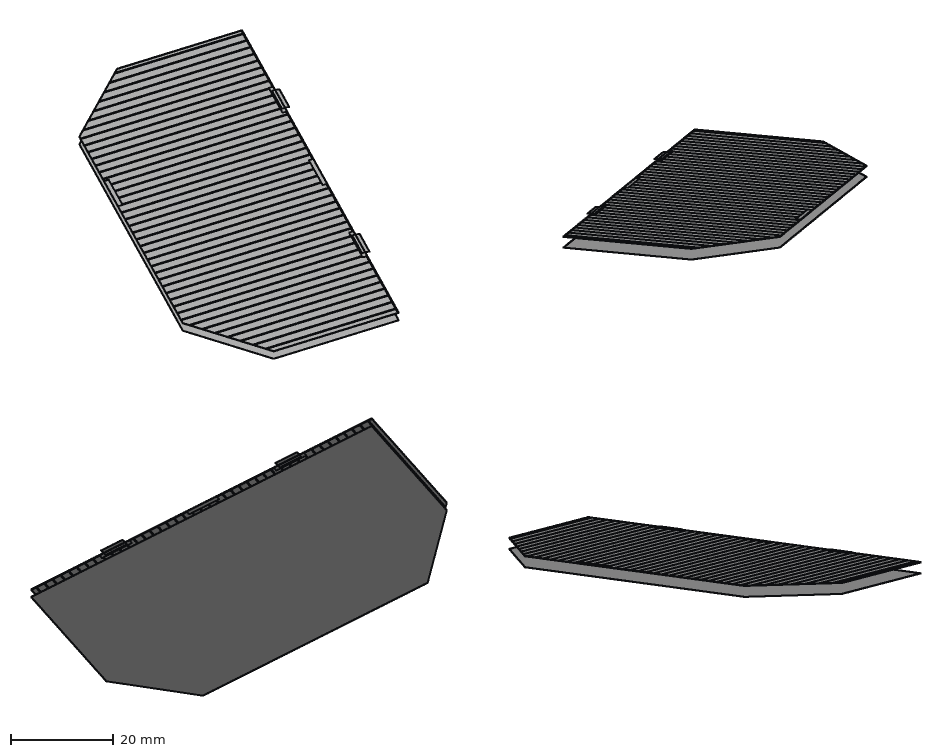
import cadquery as cq
import math

LENGTH = 80.0
WIDTH = 40.0
CORNER_CUT = 13.6
SIDE_X = LENGTH / 2
BACK_Y = WIDTH / 2
FRONT_Y = -BACK_Y

COVER_THICKNESS = 0.1
SHEET_GAP = 2.1
CELL_THICKNESS = 0.14
GRID_THICKNESS = 0.02
CELL_BOTTOM = COVER_THICKNESS + SHEET_GAP
CELL_TOP = CELL_BOTTOM + CELL_THICKNESS
GRID_TOP = CELL_TOP + GRID_THICKNESS

FINGER_COUNT = 42
FIRST_FINGER_X = -39.0
LAST_FINGER_X = 38.9
FINGER_PITCH = (LAST_FINGER_X - FIRST_FINGER_X) / (FINGER_COUNT - 1)
FINGER_WIDTH = 0.2
BUSBAR_WIDTH = 0.2
PAD_LENGTH = 7.0
PAD_WIDTH = 1.0

TAB_X = 20.5
TAB_LENGTH = 5.0
TAB_OVERHANG = 0.9
TAB_THICKNESS = 0.04
TAB_OUTER_RADIUS = 5.0
TAB_INNER_RADIUS = TAB_OUTER_RADIUS - TAB_THICKNESS
TAB_FREE_END_ANGLE = math.radians(15.8)
TAB_PAD_END_ANGLE = math.radians(-2.5)

BACK_PAD_Y = BACK_Y - PAD_WIDTH / 2
FRONT_PAD_Y = FRONT_Y + PAD_WIDTH / 2
PAD_CENTRES = [
    (-TAB_X, BACK_PAD_Y),
    (0, BACK_PAD_Y),
    (TAB_X, BACK_PAD_Y),
    (-TAB_X / 2, FRONT_PAD_Y),
]


def make_sheet(bottom, thickness):
    """Flat sheet whose two front corners are cut at 45 degrees."""
    outline = [
        (-SIDE_X, BACK_Y),
        (SIDE_X, BACK_Y),
        (SIDE_X, FRONT_Y + CORNER_CUT),
        (SIDE_X - CORNER_CUT, FRONT_Y),
        (-SIDE_X + CORNER_CUT, FRONT_Y),
        (-SIDE_X, FRONT_Y + CORNER_CUT),
    ]
    return cq.Workplane("XY", origin=(0, 0, bottom)).polyline(outline).close().extrude(thickness)


def make_strips(centres, x_size, y_size):
    """Rectangles of conductor on top of the cell, one at each centre."""
    plane = cq.Workplane("XY", origin=(0, 0, CELL_TOP))
    return plane.pushPoints(centres).rect(x_size, y_size).extrude(GRID_THICKNESS)


def make_conductor_grid():
    """Fingers joined by the busbar and pads, trimmed to the outline of the cell."""
    finger_centres = [(FIRST_FINGER_X + i * FINGER_PITCH, 0) for i in range(FINGER_COUNT)]
    fingers = make_strips(finger_centres, FINGER_WIDTH, WIDTH)
    busbar = make_strips([(0, BACK_Y - BUSBAR_WIDTH / 2)], LENGTH, BUSBAR_WIDTH)
    pads = make_strips(PAD_CENTRES, PAD_LENGTH, PAD_WIDTH)
    return busbar.union(fingers).union(pads).intersect(make_sheet(CELL_TOP, GRID_THICKNESS))


def make_tab(centre_x):
    """Curved strip that rests on the back edge of a pad and reaches beyond it."""
    axis_y = BACK_Y + TAB_OVERHANG - TAB_OUTER_RADIUS * math.sin(TAB_FREE_END_ANGLE)
    axis_z = GRID_TOP - math.sqrt(TAB_INNER_RADIUS**2 - (BACK_Y - axis_y) ** 2)
    middle_angle = (TAB_FREE_END_ANGLE + TAB_PAD_END_ANGLE) / 2

    def point(radius, angle):
        return (axis_y + radius * math.sin(angle), axis_z + radius * math.cos(angle))

    return (
        cq.Workplane("YZ", origin=(centre_x - TAB_LENGTH / 2, 0, 0))
        .moveTo(*point(TAB_INNER_RADIUS, TAB_PAD_END_ANGLE))
        .threePointArc(
            point(TAB_INNER_RADIUS, middle_angle),
            point(TAB_INNER_RADIUS, TAB_FREE_END_ANGLE),
        )
        .lineTo(*point(TAB_OUTER_RADIUS, TAB_FREE_END_ANGLE))
        .threePointArc(
            point(TAB_OUTER_RADIUS, middle_angle),
            point(TAB_OUTER_RADIUS, TAB_PAD_END_ANGLE),
        )
        .close()
        .extrude(TAB_LENGTH)
    )


cover = make_sheet(0, COVER_THICKNESS)
cell = make_sheet(CELL_BOTTOM, CELL_THICKNESS)
conductor_grid = make_conductor_grid()
tabs = [make_tab(centre_x) for centre_x in (-TAB_X, TAB_X)]

result = cq.Compound.makeCompound(
    [cover.val(), cell.val(), conductor_grid.solids().val(), *[tab.val() for tab in tabs]]
)